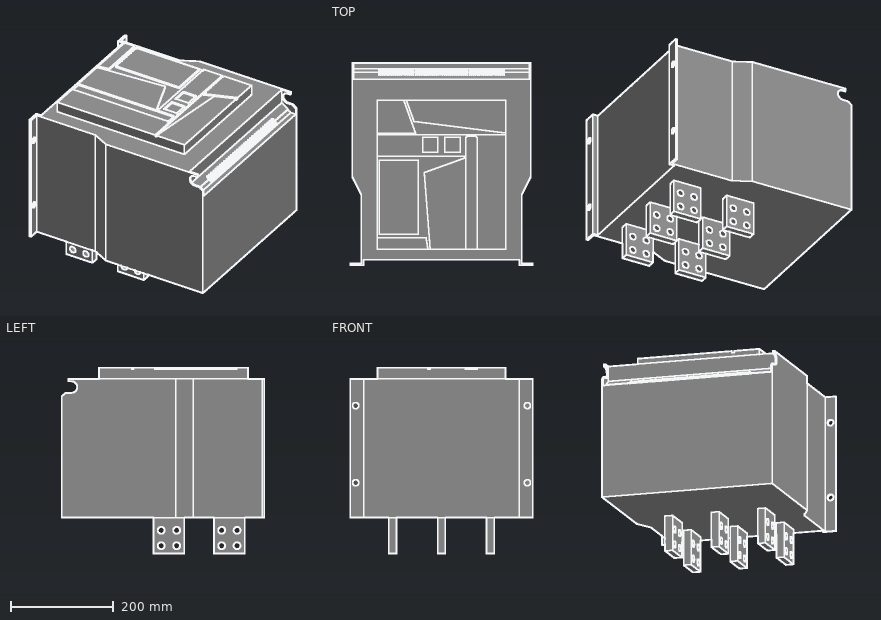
import cadquery as cq
import math

DEPTH = 394.0
HEIGHT = 270.0
REAR_HALF_WIDTH = 174.0
FRONT_HALF_WIDTH = 156.5
TAPER_FRONT_Y = 138.0
TAPER_REAR_Y = 172.5
FRONT_FACE_Y = 11.0

FLANGE_THICKNESS = 4.0
FLANGE_HALF_SPAN = 177.5
FLANGE_WIDTH = 26.0
FLANGE_HOLE_DIAMETER = 12.0
FLANGE_HOLE_X = 167.0
FLANGE_HOLE_TOP_OFFSET = 52.0
FLANGE_HOLE_SPACING = 150.0

SIDE_PLATE_THICKNESS = 3.0
RECESS_SETBACK = 32.0
SLOPE_ANGLE = 36.0
SLOPE_START_DEPTH = 30.0
STEP_SETBACK = 18.0
STEP_DROP = 1.0
LEDGE_SETBACK = 11.5

HOOK_SETBACK = 12.8
HOOK_THICKNESS = 5.0
NOTCH_RADIUS = 11.0
NOTCH_CENTRE_SETBACK = 19.0
NOTCH_CHAMFER_LENGTH = 8.0
NOTCH_CHAMFER_DROP = 6.4

VENT_DIAMETER = 5.0
VENT_DEPTH = 3.0
VENT_PITCH = 8.0
VENT_COUNT = 31
VENT_ROW_SETBACKS = (14.5, 21.5)

PANEL_WIDTH = 249.0
PANEL_LENGTH = 290.0
PANEL_FRONT_Y = 31.5
PANEL_HEIGHT = 19.0
PAD_HEIGHT = 3.0
KEY_SLOT_LEFT = 171.5
KEY_SLOT_WIDTH = 22.5
KEY_SLOT_LENGTH = 219.5
KEY_SLOT_CORNER = 2.5
WINDOW_SIZE = 29.5
WINDOW_FRONT = 188.5
WINDOW_LEFTS = (88.0, 131.0)
BAND_FRONT = 181.0
BAND_REAR = 223.0
REAR_PAD_FRONT = 226.0
REAR_LEFT_PAD = [(0, REAR_PAD_FRONT), (74, REAR_PAD_FRONT), (51, PANEL_LENGTH), (0, PANEL_LENGTH)]
REAR_RIGHT_PAD = [
    (71, 248.5),
    (PANEL_WIDTH, REAR_PAD_FRONT),
    (PANEL_WIDTH, PANEL_LENGTH),
    (56, PANEL_LENGTH),
]
BAND_AND_RIGHT_COLUMN = [
    (0, BAND_FRONT),
    (KEY_SLOT_LEFT, BAND_FRONT),
    (KEY_SLOT_LEFT, 0),
    (PANEL_WIDTH, 0),
    (PANEL_WIDTH, BAND_REAR),
    (0, BAND_REAR),
]
MIDDLE_PAD = [(102.5, 0), (KEY_SLOT_LEFT, 0), (KEY_SLOT_LEFT, 178), (91, 149)]
DISPLAY_PAD = [(3, 29), (79, 29), (79, 173), (3, 173)]
FRONT_LEFT_PAD = [(0, 0), (98, 0), (94.5, 22.5), (0, 22.5)]
PAD_OUTLINES = (
    REAR_LEFT_PAD,
    REAR_RIGHT_PAD,
    BAND_AND_RIGHT_COLUMN,
    MIDDLE_PAD,
    DISPLAY_PAD,
    FRONT_LEFT_PAD,
)

BAR_THICKNESS = 15.5
BAR_LENGTH = 70.0
BAR_PITCH = 95.0
BAR_WIDTH = 60.0
BAR_CENTRES_Y = (68.0, 185.5)
BAR_HOLE_DIAMETER = 13.0
BAR_HOLE_SPACING = 30.0
BAR_HOLE_LOWER_OFFSET = 15.5


def centred_box(width, length, height, centre_x, centre_y, bottom_z):
    """Box centred in X and Y and standing on bottom_z."""
    return (
        cq.Workplane("XY", origin=(centre_x, centre_y, bottom_z))
        .rect(width, length)
        .extrude(height)
    )


def side_profile(points, half_width):
    """Prism across X, centred, from (y, z) points."""
    return cq.Workplane("YZ").polyline(points).close().extrude(half_width, both=True)


def housing():
    flange_inner_x = FLANGE_HALF_SPAN - FLANGE_WIDTH
    right_side = [
        (flange_inner_x, FRONT_FACE_Y),
        (flange_inner_x, 0),
        (FLANGE_HALF_SPAN, 0),
        (FLANGE_HALF_SPAN, FLANGE_THICKNESS),
        (FRONT_HALF_WIDTH, FLANGE_THICKNESS),
        (FRONT_HALF_WIDTH, TAPER_FRONT_Y),
        (REAR_HALF_WIDTH, TAPER_REAR_Y),
        (REAR_HALF_WIDTH, DEPTH),
    ]
    left_side = [(-x, y) for x, y in reversed(right_side)]
    return cq.Workplane("XY").polyline(right_side + left_side).close().extrude(HEIGHT)


def flange_holes():
    upper_z = HEIGHT - FLANGE_HOLE_TOP_OFFSET
    lower_z = upper_z - FLANGE_HOLE_SPACING
    places = [(x, z) for x in (-FLANGE_HOLE_X, FLANGE_HOLE_X) for z in (lower_z, upper_z)]
    return (
        cq.Workplane("XZ")
        .pushPoints(places)
        .circle(FLANGE_HOLE_DIAMETER / 2)
        .extrude(-FLANGE_THICKNESS)
    )


def slope_z(setback):
    """Height of the rear slope at a distance in front of the rear end."""
    drop = (RECESS_SETBACK - setback) * math.tan(math.radians(SLOPE_ANGLE))
    step = STEP_DROP if setback < STEP_SETBACK else 0.0
    return HEIGHT - SLOPE_START_DEPTH - drop - step


def rear_recess():
    step_z = slope_z(STEP_SETBACK)
    ledge_z = slope_z(LEDGE_SETBACK)
    outline = [
        (DEPTH - RECESS_SETBACK, HEIGHT),
        (DEPTH - RECESS_SETBACK, slope_z(RECESS_SETBACK)),
        (DEPTH - STEP_SETBACK, step_z),
        (DEPTH - STEP_SETBACK, step_z - STEP_DROP),
        (DEPTH - LEDGE_SETBACK, ledge_z),
        (DEPTH, ledge_z),
        (DEPTH, HEIGHT),
    ]
    return side_profile(outline, REAR_HALF_WIDTH - SIDE_PLATE_THICKNESS)


def hook_notch():
    """Cutter across both side plates: round-ended slot, hook end and lower chamfer."""
    slot_top = HEIGHT - HOOK_THICKNESS
    slot_bottom = slot_top - 2 * NOTCH_RADIUS
    slot_middle = slot_top - NOTCH_RADIUS
    round_y = DEPTH - NOTCH_CENTRE_SETBACK
    hook_y = DEPTH - HOOK_SETBACK
    return (
        cq.Workplane("YZ")
        .moveTo(DEPTH, HEIGHT)
        .lineTo(hook_y, HEIGHT)
        .lineTo(hook_y, slot_top)
        .lineTo(round_y, slot_top)
        .threePointArc((round_y - NOTCH_RADIUS, slot_middle), (round_y, slot_bottom))
        .lineTo(DEPTH - NOTCH_CHAMFER_LENGTH, slot_bottom)
        .lineTo(DEPTH, slot_bottom - NOTCH_CHAMFER_DROP)
        .close()
        .extrude(REAR_HALF_WIDTH, both=True)
    )


def vent_row(setback):
    """Row of blind holes square to the rear slope."""
    angle = math.radians(SLOPE_ANGLE)
    normal = (0, math.sin(angle), math.cos(angle))
    centre = (0, DEPTH - setback, slope_z(setback))
    return (
        cq.Workplane(cq.Plane(origin=centre, xDir=(1, 0, 0), normal=normal))
        .rarray(VENT_PITCH, 1, VENT_COUNT, 1)
        .circle(VENT_DIAMETER / 2)
        .extrude(-VENT_DEPTH)
    )


def panel_pads():
    """Raised pads of the control panel, standing on its base plate."""
    slot_right = KEY_SLOT_LEFT + KEY_SLOT_WIDTH
    base = cq.Workplane("XY", origin=(-PANEL_WIDTH / 2, PANEL_FRONT_Y, HEIGHT + PANEL_HEIGHT))
    pads = None
    for outline in PAD_OUTLINES:
        pad = base.polyline(outline).close().extrude(PAD_HEIGHT)
        pads = pad if pads is None else pads.union(pad)

    key_slot = (
        base.moveTo(KEY_SLOT_LEFT, 0)
        .lineTo(slot_right, 0)
        .lineTo(slot_right, KEY_SLOT_LENGTH - KEY_SLOT_CORNER)
        .lineTo(slot_right - KEY_SLOT_CORNER, KEY_SLOT_LENGTH)
        .lineTo(KEY_SLOT_LEFT + KEY_SLOT_CORNER, KEY_SLOT_LENGTH)
        .lineTo(KEY_SLOT_LEFT, KEY_SLOT_LENGTH - KEY_SLOT_CORNER)
        .close()
        .extrude(PAD_HEIGHT)
    )
    pads = pads.cut(key_slot)
    for left in WINDOW_LEFTS:
        window = (
            base.moveTo(left, WINDOW_FRONT)
            .rect(WINDOW_SIZE, WINDOW_SIZE, centered=False)
            .extrude(PAD_HEIGHT)
        )
        pads = pads.cut(window)
    return pads


def control_panel():
    plate = centred_box(
        PANEL_WIDTH, PANEL_LENGTH, PANEL_HEIGHT, 0, PANEL_FRONT_Y + PANEL_LENGTH / 2, HEIGHT
    )
    return plate.union(panel_pads(), clean=False)


def terminal_bar(centre_x, centre_y):
    bar = centred_box(BAR_THICKNESS, BAR_WIDTH, BAR_LENGTH, centre_x, centre_y, -BAR_LENGTH)
    hole_centre_z = -BAR_LENGTH + BAR_HOLE_LOWER_OFFSET + BAR_HOLE_SPACING / 2
    holes = (
        cq.Workplane("YZ", origin=(centre_x, centre_y, hole_centre_z))
        .rarray(BAR_HOLE_SPACING, BAR_HOLE_SPACING, 2, 2)
        .circle(BAR_HOLE_DIAMETER / 2)
        .extrude(BAR_THICKNESS, both=True)
    )
    return bar.cut(holes)


body = housing().cut(flange_holes()).cut(rear_recess()).cut(hook_notch())
for row_setback in VENT_ROW_SETBACKS:
    body = body.cut(vent_row(row_setback))
for bar_x in (-BAR_PITCH, 0, BAR_PITCH):
    for bar_y in BAR_CENTRES_Y:
        body = body.union(terminal_bar(bar_x, bar_y))
result = body.union(control_panel(), clean=False)